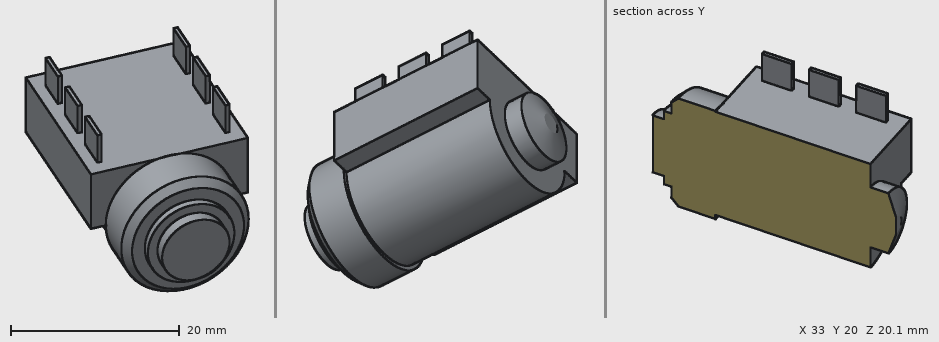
import cadquery as cq

total_length = 33.0
plunger_length = 3.5
plunger_cone_length = 1.05
body_length = 21.0
collar_length = 6.0
collar_chamfer = 1.0
ring_length = 1.0

plunger_radius = 4.52
plunger_tip_radius = 1.25
barrel_radius = 7.52
collar_radius = 8.12
ring_radius = 5.5
nose_radius = 4.3

body_width = 20.0
body_height = 8.0

tab_length = 4.03
tab_thickness = 0.53
tab_top = 11.98
tab_row_spacing = 16.3
tab_pitch = 6.37
tab_count = 3
first_tab_offset = 2.3

body_start = plunger_length
collar_start = body_start + body_length
collar_end = collar_start + collar_length
ring_end = collar_end + ring_length


def cylinder(start, end, radius):
    return cq.Workplane("YZ").workplane(offset=start).circle(radius).extrude(end - start)


def make_plunger():
    """Cylinder with a blunt conical tip, centred on the X axis."""
    profile = [
        (0, 0),
        (0, plunger_tip_radius),
        (plunger_cone_length, plunger_radius),
        (body_start, plunger_radius),
        (body_start, 0),
    ]
    return cq.Workplane("XY").polyline(profile).close().revolve(360, (0, 0, 0), (1, 0, 0))


def make_body():
    """Box above the axis joined to a barrel that rounds off the underside."""
    box = cq.Workplane("XY").box(body_length, body_width, body_height, centered=(False, True, False))
    barrel = cylinder(body_start, collar_start, barrel_radius)
    return box.translate((body_start, 0, 0)).union(barrel)


def make_front_end():
    """Chamfered collar, stepped down to a ring and a nose."""
    collar = cylinder(collar_start, collar_end, collar_radius).faces(">X").chamfer(collar_chamfer)
    ring = cylinder(collar_end, ring_end, ring_radius)
    nose = cylinder(ring_end, total_length, nose_radius)
    return collar.union(ring).union(nose)


def make_tabs():
    """Two rows of upright rectangular tabs on top of the body."""
    first_centre = body_start + first_tab_offset + tab_length / 2
    row_half_spacing = tab_row_spacing / 2
    centres = [
        (first_centre + index * tab_pitch, y)
        for index in range(tab_count)
        for y in (-row_half_spacing, row_half_spacing)
    ]
    return (
        cq.Workplane("XY")
        .workplane(offset=body_height)
        .pushPoints(centres)
        .rect(tab_length, tab_thickness)
        .extrude(tab_top - body_height)
    )


result = make_body().union(make_plunger()).union(make_front_end()).union(make_tabs())